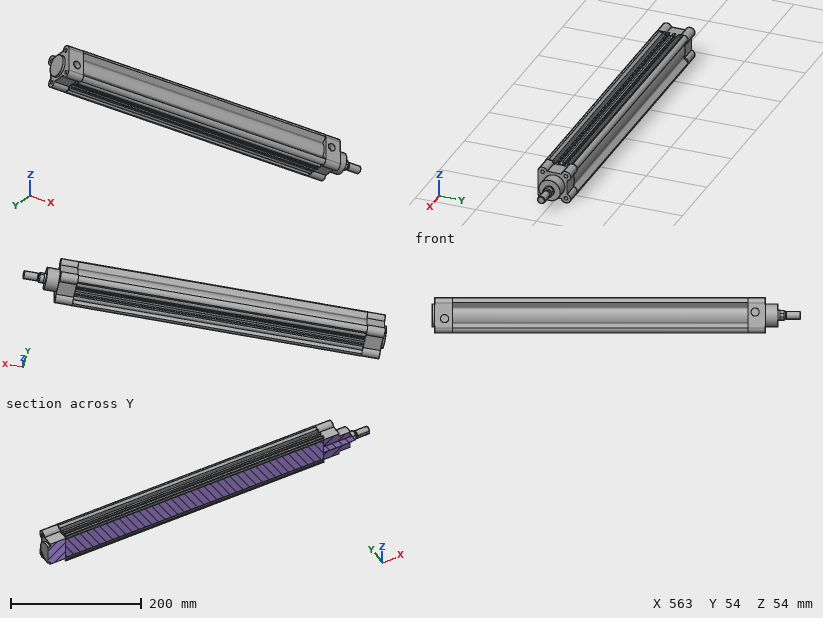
import cadquery as cq


rear_face = 4.0
barrel_start = 31.5
barrel_end = 482.5
front_face = 509.5
boss_end = 528.5
flats_start = 531.5
shoulder = 538.0
thread_start = 541.5
rod_end = 563.0

x_axis = ((0, 0, 0), (1, 0, 0))

half_width = 54.0 / 2

bolt_offset = 19.0
bolt_radius = 3.0
bolt_depth = 17.0
lobe_radius = half_width - bolt_offset
cap_web_half = 21.5
boss_radius = 17.5
port_radius = 6.0
port_depth = 11.0
port_offset = 5.0
rear_port_x = 19.0
front_port_x = 494.0

corner_radius = 7.5
core_radius = 22.5
notch_mouth = half_width - corner_radius
notch_depth = 8.5
root_fillet = 0.85
groove_inner = 5.0
groove_outer = 10.5
groove_floor = 19.5
rib_outer = 13.5
rib_round = 1.0
hook_inner = 3.0
hook_outer = 6.0
hook_neck = 4.2
hook_drop = 2.0

rod_radius = 8.0
thread_radius = 6.0
relief_radius = 5.5
relief_start = 540.0
tip_chamfer = 0.85
wrench_step = 0.1
wrench_radius = rod_radius - wrench_step
flat_half = 7.5


def bar(x_start, x_end, half_y, half_z):
    """Rectangular bar along X, centred on the axis."""
    return cq.Workplane("YZ", origin=(x_start, 0, 0)).rect(2 * half_y, 2 * half_z).extrude(x_end - x_start)


def rod(x_start, x_end, radius, y=0.0, z=0.0):
    """Round bar along X."""
    return cq.Workplane("YZ", origin=(x_start, y, z)).circle(radius).extrude(x_end - x_start)


def barrel_prism(points):
    """Polygon in Y and Z, extruded over the length of the barrel."""
    section = cq.Workplane("YZ", origin=(barrel_start, 0, 0)).polyline(points).close()
    return section.extrude(barrel_end - barrel_start)


def bolt_centres():
    """Y and Z of the four corner bolts."""
    return [(y, z) for y in (-bolt_offset, bolt_offset) for z in (-bolt_offset, bolt_offset)]


def make_cap(x_start, x_end, port_x, port_z, bolt_face, bolt_direction):
    """Cap with four corner lobes, a flat -Y side, a port in that side and bolt holes in its outer face."""
    cap = bar(x_start, x_end, cap_web_half, cap_web_half)
    for y, z in bolt_centres():
        cap = cap.union(rod(x_start, x_end, lobe_radius, y, z))
    side_centre = (half_width + bolt_offset) / 2
    flat_side = bar(x_start, x_end, lobe_radius / 2, bolt_offset).translate((0, -side_centre, 0))
    cap = cap.union(flat_side)
    for y, z in bolt_centres():
        cap = cap.cut(rod(bolt_face, bolt_face + bolt_direction * bolt_depth, bolt_radius, y, z))
    port = cq.Workplane("XZ", origin=(port_x, -half_width, port_z)).circle(port_radius).extrude(-port_depth)
    return cap.cut(port)


def make_rear_cap():
    """Blind cap with a short centring boss."""
    cap = make_cap(rear_face, barrel_start, rear_port_x, -port_offset, rear_face, 1)
    return cap.union(rod(0, rear_face, boss_radius))


def make_front_cap():
    """Cap with a guide boss, bored through for the rod."""
    cap = make_cap(barrel_end, front_face, front_port_x, port_offset, front_face, -1)
    cap = cap.union(rod(front_face, boss_end, boss_radius))
    return cap.cut(rod(barrel_end, boss_end, rod_radius))


def make_side_notch():
    """Trapezoidal notch with 45 degree flanks, on the +Z side."""
    floor_half = notch_mouth - notch_depth
    floor = half_width - notch_depth
    return barrel_prism([
        (-notch_mouth, half_width),
        (notch_mouth, half_width),
        (floor_half, floor),
        (-floor_half, floor),
    ])


def make_groove():
    """Flat-bottomed groove beside the hook, on the +Y half of the +Z side."""
    return barrel_prism([
        (groove_inner, groove_floor),
        (groove_outer, groove_floor),
        (groove_outer, half_width),
        (groove_inner, half_width),
    ])


def make_round_rib():
    """Rib with a rounded top on the outer edge of the groove."""
    root = half_width - notch_depth
    rib = barrel_prism([
        (groove_outer, root),
        (rib_outer, root),
        (rib_outer, half_width),
        (groove_outer, half_width),
    ])
    return rib.faces(">Z").edges("|X").fillet(rib_round)


def make_hook():
    """Hook with an undercut inner side, standing on the round core."""
    under_head = half_width - hook_drop
    return barrel_prism([
        (hook_inner, half_width),
        (hook_outer, half_width),
        (hook_outer, under_head),
        (groove_inner, under_head),
        (groove_inner, groove_floor),
        (hook_inner, groove_floor),
        (hook_neck, under_head),
    ])


def place_rail(shape, mirrored, turn):
    """Copy of a rail shape, optionally mirrored to -Y, then turned about the axis."""
    placed = shape.mirror("XZ") if mirrored else shape
    return placed.rotate(*x_axis, turn)


def make_barrel():
    """Square profile with notched sides around a round core, and slot rails on the +Z and -Z sides."""
    barrel = bar(barrel_start, barrel_end, half_width, half_width).edges("|X").fillet(corner_radius)
    for turn in range(4):
        barrel = barrel.cut(make_side_notch().rotate(*x_axis, 90 * turn))
    barrel = barrel.union(rod(barrel_start, barrel_end, core_radius))
    within_width = cq.selectors.BoxSelector((0, -notch_mouth, -half_width), (rod_end, notch_mouth, half_width))
    within_height = cq.selectors.BoxSelector((0, -half_width, -notch_mouth), (rod_end, half_width, notch_mouth))
    barrel = barrel.edges("|X").edges(within_width).edges(within_height).fillet(root_fillet)

    groove = make_groove()
    rails = [make_round_rib(), make_hook()]
    for turn in (0, 180):
        for mirrored in (False, True):
            barrel = barrel.cut(place_rail(groove, mirrored, turn))
            for rail in rails:
                barrel = barrel.union(place_rail(rail, mirrored, turn))
    return barrel


def make_piston_rod():
    """Stepped rod through the front cap, with two wrench flats, a thread relief and a chamfered tip."""
    shaft = rod(barrel_end, flats_start, rod_radius)
    slab = bar(flats_start, shoulder, flat_half, wrench_radius)
    shaft = shaft.union(rod(flats_start, shoulder, wrench_radius).intersect(slab))
    relief = (
        cq.Workplane("XY")
        .polyline([
            (shoulder, 0),
            (shoulder, flat_half),
            (relief_start, relief_radius),
            (thread_start, relief_radius),
            (thread_start, 0),
        ])
        .close()
        .revolve(360, *x_axis)
    )
    thread = rod(thread_start, rod_end, thread_radius).faces(">X").chamfer(tip_chamfer)
    return shaft.union(relief).union(thread)


rear_cap = make_rear_cap()
barrel = make_barrel()
front_cap = make_front_cap()
piston_rod = make_piston_rod()

result = cq.Compound.makeCompound([rear_cap.val(), barrel.val(), front_cap.val(), piston_rod.val()])